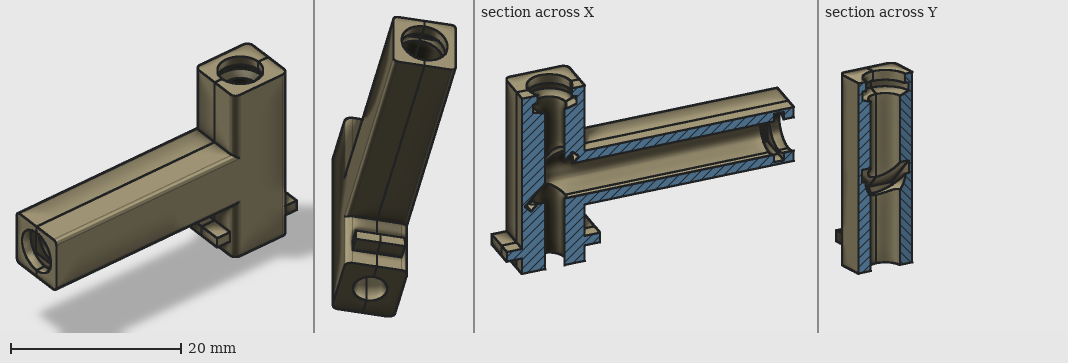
import cadquery as cq


width = 7.5
total_length = 36.57
column_depth = 8.0
column_height = 23.7
column_corner_radius = 0.8
arm_axis_height = 11.25
arm_height = 7.3
arm_corner_radius = 0.55
column_offset = 0.2

tab_reach = 1.95
tab_height = 1.35
tab_base_height = 2.1
tab_width = width - 2 * column_corner_radius

column_bore_diameter = 4.02
mouth_diameter = 5.38
mouth_depth = 1.2
seat_diameter = 6.35
seat_thickness = 1.0
cone_depth = 0.45

arm_bore_diameter = 5.5
filter_side = 6.45
filter_depth = 1.28
filter_thickness = 1.2

mirror_angle = 45.0
mirror_length = 8.55
mirror_width = 6.45
mirror_thickness = 1.05

column_back = column_depth / 2 + column_offset
column_bottom = -arm_axis_height
column_top = column_bottom + column_height
arm_end = column_back + tab_reach - total_length


def tee_body():
    """Upright column with the arm standing out toward -Y."""
    column = (
        cq.Workplane("XY", origin=(0, column_offset, column_bottom))
        .rect(width, column_depth)
        .extrude(column_height)
        .edges("|Z")
        .fillet(column_corner_radius)
    )
    arm = (
        cq.Workplane("XZ", origin=(0, arm_end, 0))
        .rect(width, arm_height)
        .extrude(arm_end)
        .edges("|Y")
        .fillet(arm_corner_radius)
    )
    return column.union(arm)


def tabs():
    """Bar whose two ends stand out of the column as tabs."""
    return cq.Workplane("XY", origin=(0, column_offset, column_bottom + tab_base_height)).box(
        tab_width, column_depth + 2 * tab_reach, tab_height, centered=(True, True, False)
    )


def column_cavity():
    """Revolved cavity: mouth, wider seat, cone and through bore."""
    bore_radius = column_bore_diameter / 2
    mouth_radius = mouth_diameter / 2
    seat_radius = seat_diameter / 2
    seat_top = column_top - mouth_depth
    seat_bottom = seat_top - seat_thickness
    return (
        cq.Workplane("XZ")
        .moveTo(0, column_bottom)
        .lineTo(bore_radius, column_bottom)
        .lineTo(bore_radius, seat_bottom - cone_depth)
        .lineTo(seat_radius, seat_bottom)
        .lineTo(seat_radius, seat_top)
        .lineTo(mouth_radius, seat_top)
        .lineTo(mouth_radius, column_top)
        .lineTo(0, column_top)
        .close()
        .revolve(360, (0, 0, 0), (0, 1, 0))
    )


def mirror_slot():
    """Tilted slot whose front face passes through the crossing of the axes."""
    return (
        cq.Workplane("XY")
        .box(mirror_width, mirror_length, mirror_thickness, centered=(True, True, False))
        .rotate((0, 0, 0), (1, 0, 0), -mirror_angle)
    )


def arm_bore():
    """Bore from the arm end, cut off at the front face of the mirror slot."""
    cylinder = (
        cq.Workplane("XZ", origin=(0, arm_end, 0))
        .circle(arm_bore_diameter / 2)
        .extrude(arm_end - column_back)
    )
    behind_mirror = (
        cq.Workplane("XY")
        .box(total_length, total_length, total_length, centered=(True, True, False))
        .rotate((0, 0, 0), (1, 0, 0), -mirror_angle)
    )
    return cylinder.cut(behind_mirror)


def filter_slot():
    """Square slot across the arm bore."""
    return cq.Workplane("XY", origin=(0, arm_end + filter_depth, 0)).box(
        filter_side, filter_thickness, filter_side, centered=(True, False, True)
    )


def half_shell(tee, side):
    """Half of the tee on the given side of X = 0 (-1 or +1)."""
    half_space = cq.Workplane("XY", origin=(side * width / 2, 0, 0)).box(
        width, 2 * total_length, 2 * column_height
    )
    return tee.intersect(half_space)


hollow_tee = (
    tee_body()
    .union(tabs())
    .cut(column_cavity())
    .cut(arm_bore())
    .cut(mirror_slot())
    .cut(filter_slot())
)

shells = [half_shell(hollow_tee, side).val() for side in (-1, 1)]

result = cq.Compound.makeCompound(shells)